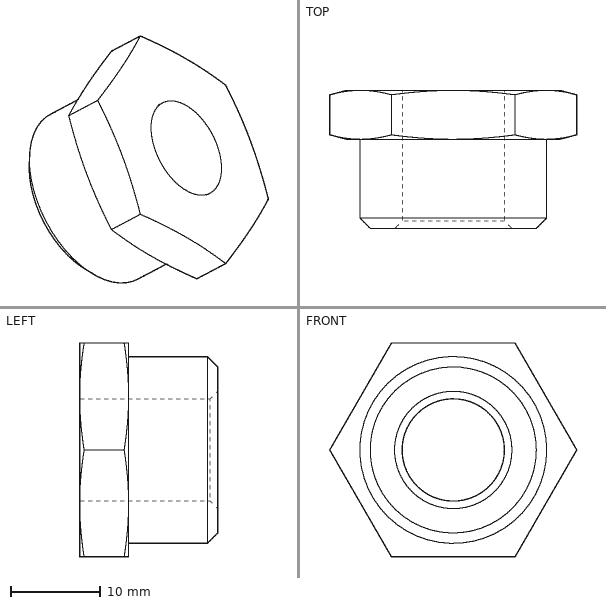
import cadquery as cq
import math

across_corners = 27.7
total_length = 15.5
shank_length = 10.0
shank_diameter = 20.95
shank_chamfer = 1.15
bore_diameter = 11.45
bore_chamfer = 0.85
corner_chamfer_angle = 15.0

head_thickness = total_length - shank_length
across_flats = across_corners * math.cos(math.radians(30))
corner_overhang = (across_corners - across_flats) / 2
corner_chamfer_depth = corner_overhang * math.tan(math.radians(corner_chamfer_angle))


def make_head():
    """Hexagon with its corners turned off by a shallow cone on both faces."""
    hexagon = cq.Workplane("XZ").polygon(6, across_corners).extrude(head_thickness)
    turned_blank = (
        cq.Workplane("XZ")
        .circle(across_corners / 2)
        .extrude(head_thickness)
        .faces("<Y or >Y")
        .chamfer(corner_chamfer_depth, corner_overhang)
    )
    return hexagon.intersect(turned_blank)


def make_shank():
    """Round shank with a chamfered free end."""
    return (
        cq.Workplane("XZ", origin=(0, -head_thickness, 0))
        .circle(shank_diameter / 2)
        .extrude(shank_length)
        .faces("<Y")
        .chamfer(shank_chamfer)
    )


def make_bore():
    """Through bore, flared at 45 degrees at the free end of the shank."""
    bore_radius = bore_diameter / 2
    profile = [
        (0, 0),
        (bore_radius, 0),
        (bore_radius, bore_chamfer - total_length),
        (bore_radius + bore_chamfer, -total_length),
        (0, -total_length),
    ]
    return cq.Workplane("XY").polyline(profile).close().revolve(360, (0, 0), (0, 1))


result = make_head().union(make_shank()).cut(make_bore())